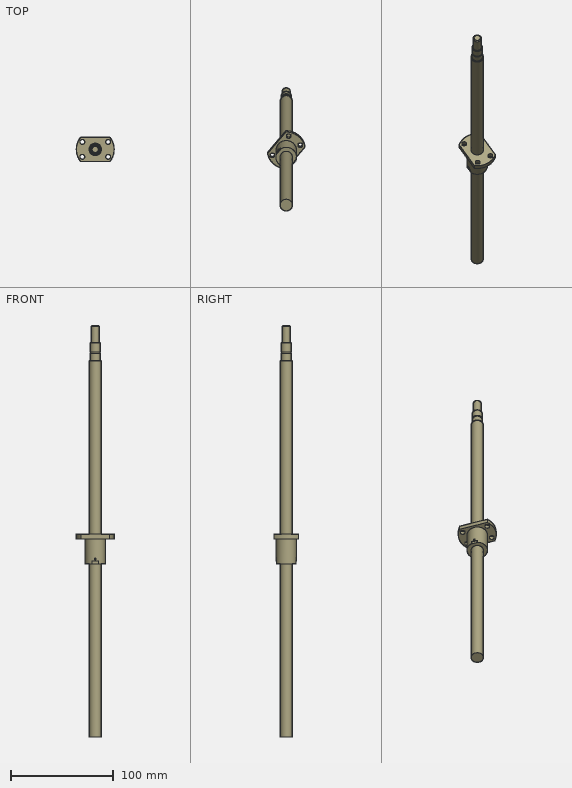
import cadquery as cq
import math

shaft_length = 399.8
shaft_diameter = 12.0
shaft_chamfer = 0.5
journal_length = 34.0
journal_diameter = 10.0
journal_chamfer = 0.5
groove_diameter = 9.6
groove_width = 1.15
groove_depth_from_top = 26.3
tip_length = 16.5
tip_diameter = 8.0
tip_chamfer = 1.0
shoulder_z = shaft_length - journal_length
tip_z = shaft_length - tip_length
groove_z = shaft_length - groove_depth_from_top

nut_length = 29.0
nut_diameter = 20.0
nut_top_from_shaft_top = 202.5
nut_top = shaft_length - nut_top_from_shaft_top
nut_bottom = nut_top - nut_length
flange_diameter = 37.0
flange_width = 24.0
flange_thickness = 5.0
flange_bottom = nut_top - flange_thickness
bolt_circle_diameter = 29.0
bolt_hole_diameter = 4.5
bolt_angle = 30.0

notch_width = 6.0
notch_height = 2.9
notch_floor = 9.3
notch_depth = nut_diameter / 2 - notch_floor

pin_diameter = 1.6
pin_height = 4.8

side_angles = (0, 180)


def cylinder(diameter, bottom, top):
    return cq.Workplane("XY").workplane(offset=bottom).circle(diameter / 2).extrude(top - bottom)


def turned(body, angle):
    return body.rotate((0, 0, 0), (0, 0, 1), angle)


def make_shaft():
    body = cylinder(shaft_diameter, 0, shoulder_z).faces(">Z").chamfer(shaft_chamfer)
    journal = cylinder(journal_diameter, shoulder_z, tip_z).faces(">Z").chamfer(journal_chamfer)
    tip = cylinder(tip_diameter, tip_z, shaft_length).faces(">Z").chamfer(tip_chamfer)
    groove_bottom = groove_z - groove_width / 2
    groove_top = groove_z + groove_width / 2
    groove_ring = cylinder(journal_diameter, groove_bottom, groove_top).cut(
        cylinder(groove_diameter, groove_bottom, groove_top)
    )
    return body.union(journal).union(tip).cut(groove_ring)


def make_flange():
    """A disc with two flat sides and four bolt holes."""
    disc = cylinder(flange_diameter, flange_bottom, nut_top)
    flat_sides = (
        cq.Workplane("XY")
        .workplane(offset=flange_bottom)
        .rect(flange_diameter, flange_width)
        .extrude(flange_thickness)
    )
    hole_x = bolt_circle_diameter / 2 * math.cos(math.radians(bolt_angle))
    hole_y = bolt_circle_diameter / 2 * math.sin(math.radians(bolt_angle))
    hole = cylinder(bolt_hole_diameter, flange_bottom, nut_top)
    flange = disc.intersect(flat_sides)
    for side_x in (-1, 1):
        for side_y in (-1, 1):
            flange = flange.cut(hole.translate((side_x * hole_x, side_y * hole_y, 0)))
    return flange


def make_notch(angle):
    notch = cq.Workplane("XY").box(notch_width, notch_depth, notch_height).translate(
        (0, -notch_floor - notch_depth / 2, nut_bottom + notch_height / 2)
    )
    return turned(notch, angle)


def make_plain_nut():
    """The nut before the pin holes are made."""
    nut = cylinder(nut_diameter, nut_bottom, nut_top).union(make_flange())
    nut = nut.cut(cylinder(shaft_diameter, nut_bottom, nut_top))
    for angle in side_angles:
        nut = nut.cut(make_notch(angle))
    return nut


def make_pin(plain_nut, angle):
    """A radial pin through the nut wall, flush with the wall at both ends."""
    rod = (
        cq.Workplane("XZ")
        .center(0, nut_bottom + pin_height)
        .circle(pin_diameter / 2)
        .extrude(nut_diameter / 2)
    )
    return turned(rod, angle).intersect(plain_nut)


shaft = make_shaft()
nut = make_plain_nut()
pins = [make_pin(nut, angle) for angle in side_angles]
for pin in pins:
    nut = nut.cut(pin)

result = cq.Compound.makeCompound([shaft.val(), nut.val(), *[pin.val() for pin in pins]])